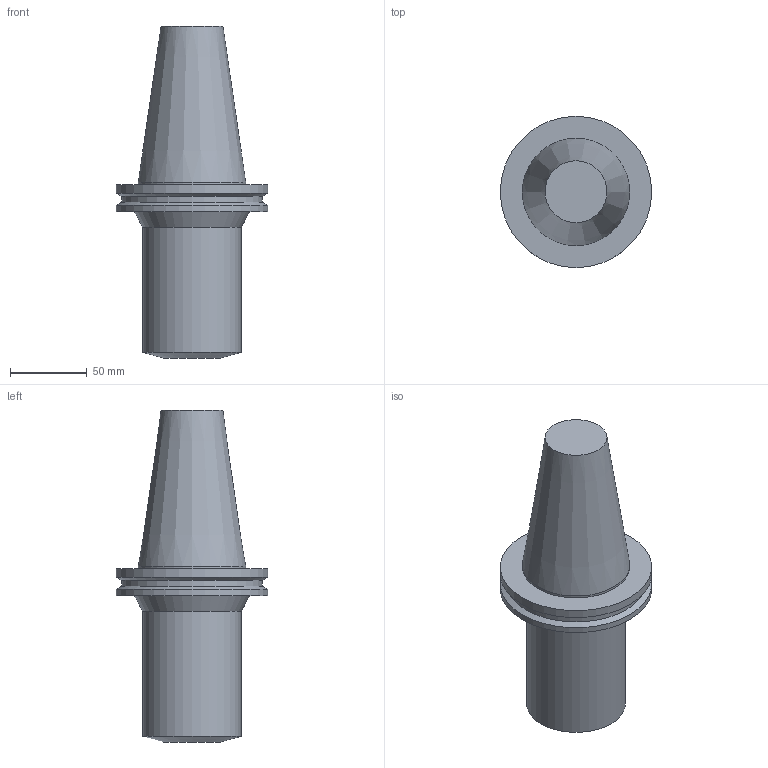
import cadquery as cq
import math

total_length = 215.9
taper_length = 101.6
gauge_diameter = 69.85
taper_ratio = 7 / 24

flange_diameter = 98.42
flange_top_z = -1.5
flange_bottom_z = -19.05
groove_diameter = 91.29
groove_floor_width = 3.9
groove_center_z = -11.1
groove_flank_angle = 30

body_diameter = 64.0
neck_diameter = 75.0
neck_length = 10.3
tip_diameter = 36.7
tip_height = 3.65

gauge_radius = gauge_diameter / 2
taper_end_radius = (gauge_diameter - taper_length * taper_ratio) / 2
flange_radius = flange_diameter / 2
groove_radius = groove_diameter / 2
body_radius = body_diameter / 2
bottom_z = taper_length - total_length
neck_bottom_z = flange_bottom_z - neck_length
groove_flank_height = (flange_radius - groove_radius) * math.tan(math.radians(groove_flank_angle))
groove_floor_top_z = groove_center_z + groove_floor_width / 2
groove_floor_bottom_z = groove_center_z - groove_floor_width / 2


def revolve_profile(points):
    """Revolve a closed (radius, height) outline about the Z axis."""
    return cq.Workplane("XZ").polyline(points).close().revolve(360, (0, 0), (0, 1))


def make_shank():
    """Taper above the gauge plane, with a short cylinder down to the flange."""
    return revolve_profile([
        (0, taper_length),
        (taper_end_radius, taper_length),
        (gauge_radius, 0),
        (gauge_radius, flange_top_z),
        (0, flange_top_z),
    ])


def make_flange():
    """Disc with a trapezoidal groove around its rim."""
    return revolve_profile([
        (0, flange_top_z),
        (flange_radius, flange_top_z),
        (flange_radius, groove_floor_top_z + groove_flank_height),
        (groove_radius, groove_floor_top_z),
        (groove_radius, groove_floor_bottom_z),
        (flange_radius, groove_floor_bottom_z - groove_flank_height),
        (flange_radius, flange_bottom_z),
        (0, flange_bottom_z),
    ])


def make_nose():
    """Conical neck, cylindrical body and shallow conical tip."""
    return revolve_profile([
        (0, flange_bottom_z),
        (neck_diameter / 2, flange_bottom_z),
        (body_radius, neck_bottom_z),
        (body_radius, bottom_z + tip_height),
        (tip_diameter / 2, bottom_z),
        (0, bottom_z),
    ])


result = make_shank().union(make_flange()).union(make_nose())